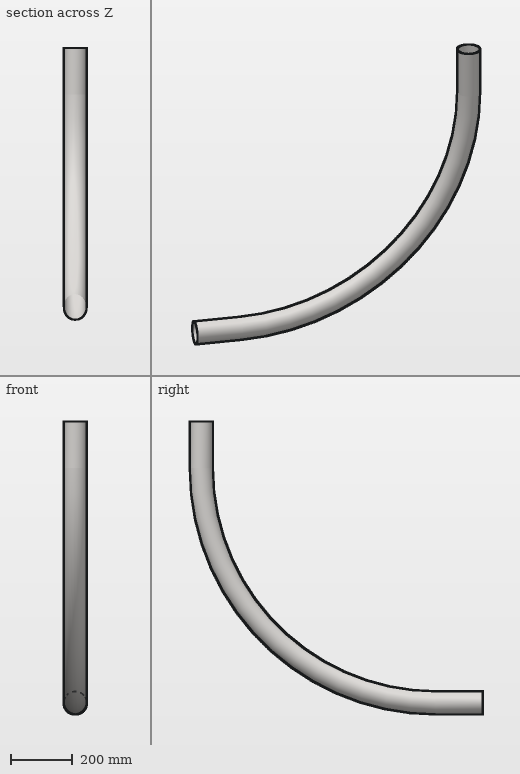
import cadquery as cq
import math

overall_size = 952.5
outer_diameter = 76.0
inner_diameter = 72.0
straight_length = 152.0

bend_radius = overall_size - outer_diameter / 2 - straight_length
leg_length = bend_radius + straight_length

arc_middle = bend_radius * (1 - math.sqrt(0.5))
centreline = (
    cq.Workplane("YZ")
    .moveTo(0, leg_length)
    .lineTo(0, bend_radius)
    .threePointArc((arc_middle, arc_middle), (bend_radius, 0))
    .lineTo(leg_length, 0)
)

result = (
    cq.Workplane("XY", origin=(0, 0, leg_length))
    .circle(outer_diameter / 2)
    .circle(inner_diameter / 2)
    .sweep(centreline)
)